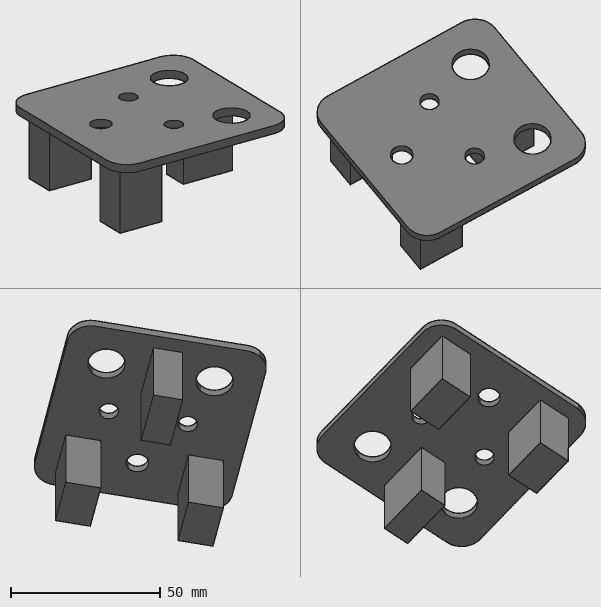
import cadquery as cq

plate_length = 70.13
rear_width = 67.86
front_width = 67.6
plate_thickness = 3.0
corner_radius = 8.0

large_hole_diameter = 12.5
large_hole_centres = [(16.0, 55.0), (53.0, 55.0)]
small_hole_diameter = 6.5
small_hole_centres = [(21.0, 35.0), (48.0, 35.0)]
front_hole_diameter = 7.5
front_hole_centres = [(34.0, 15.0)]

leg_height = 25.0
front_leg_size = (12.0, 17.0)
front_leg_corners = [(6.0, 5.0), (48.0, 5.0)]
rear_leg_size = (10.0, 20.0)
rear_leg_corners = [(29.0, 45.0)]


def make_plate():
    """Rounded plate, a hair narrower along the front edge than along the rear."""
    corners = [(0, 0), (front_width, 0), (rear_width, plate_length), (0, plate_length)]
    blank = cq.Workplane("XY").polyline(corners).close().extrude(plate_thickness)
    return blank.edges("|Z").fillet(corner_radius)


def drill_through(plate, diameter, centres):
    """Cut round holes through the full plate thickness."""
    holes = cq.Workplane("XY").pushPoints(centres).circle(diameter / 2).extrude(plate_thickness)
    return plate.cut(holes)


def add_legs(body, size, corners):
    """Join rectangular legs that hang from the underside of the plate."""
    width, length = size
    for x, y in corners:
        leg = cq.Workplane("XY").box(width, length, leg_height, centered=False)
        body = body.union(leg.translate((x, y, -leg_height)))
    return body


result = make_plate()
result = drill_through(result, large_hole_diameter, large_hole_centres)
result = drill_through(result, small_hole_diameter, small_hole_centres)
result = drill_through(result, front_hole_diameter, front_hole_centres)
result = add_legs(result, front_leg_size, front_leg_corners)
result = add_legs(result, rear_leg_size, rear_leg_corners)